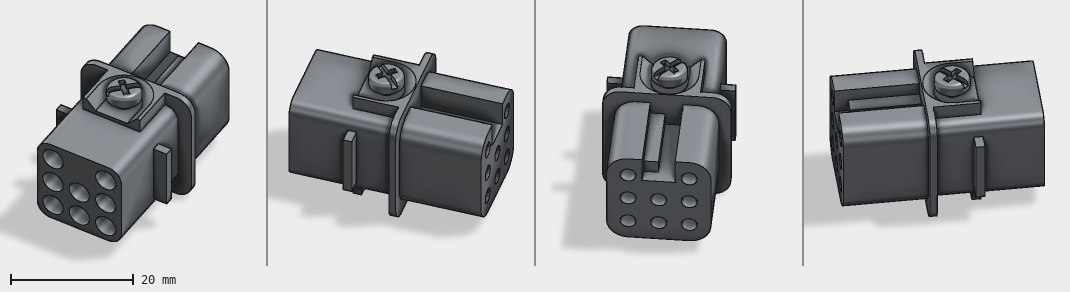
import cadquery as cq

total_length = 33.2
total_height = 22.7
joint_overlap = 0.33

front_length = 18.0
front_side = 16.0
front_radius = 2.55
flange_thickness = 1.2
flange_side = 21.0
flange_radius = 3.02
rear_side = 17.1
rear_radius = 3.52
rear_start = front_length + flange_thickness
rear_length = total_length - rear_start

flat_width = front_side - 2 * front_radius
flange_half = flange_side / 2
rib_start = 10.15
rib_thickness = 1.5

bore_pitch = 5.0
bore_radius = 1.93
contact_radius = 1.3
bore_depth = 6.65
cone_depth = bore_radius - contact_radius
bore_cells = [(-1, 1), (1, 1), (-1, 0), (0, 0), (1, 0), (-1, -1), (0, -1), (1, -1)]

screw_y = 14.18
pocket_floor_half = 3.02
pocket_depth = 1.8
pocket_floor = flange_half - pocket_depth
pocket_top_half = pocket_floor_half + pocket_depth
shank_radius = 1.53
head_radius = 2.95
head_height = 2.0
head_edge_radius = 1.0
head_top = total_height - flange_half
head_bottom = head_top - head_height
drive_width = 1.03
drive_depth = head_edge_radius
short_drive_length = 3.42
drive_angle = 45

keyway_width = 5.4
keyway_depth = 4.5
keyway_floor = rear_side / 2 - keyway_depth
rail_width = 2.45
rail_top = 6.27
rail_setback = 2.25


def rounded_square(side, radius, y_start, length):
    block = cq.Workplane("XY").box(side, length, side, centered=(True, False, True))
    return block.edges("|Y").fillet(radius).translate((0, y_start, 0))


def block_on_floor(width, length, floor, top, y_start):
    block = cq.Workplane("XY").box(width, length, top - floor, centered=(True, False, False))
    return block.translate((0, y_start, floor))


def contact_bore(x, z):
    cone_end = bore_depth + cone_depth
    profile = [
        (0, 0), (bore_radius, 0), (bore_radius, bore_depth),
        (contact_radius, cone_end), (contact_radius, total_length), (0, total_length),
    ]
    bore = cq.Workplane("XY").polyline(profile).close().revolve(360, (0, 0), (0, 1))
    return bore.translate((x, 0, z))


def seat_pocket():
    """Funnel with 45 degree walls, open toward the contact face."""
    channel_section = [
        (-pocket_floor_half, pocket_floor), (pocket_floor_half, pocket_floor),
        (pocket_top_half, flange_half), (-pocket_top_half, flange_half),
    ]
    channel = cq.Workplane("XZ").polyline(channel_section).close().extrude(-screw_y)
    funnel_profile = [
        (0, pocket_floor), (pocket_floor_half, pocket_floor),
        (pocket_top_half, flange_half), (0, flange_half),
    ]
    funnel = cq.Workplane("XZ").polyline(funnel_profile).close().revolve(360, (0, 0), (0, 1))
    return channel.union(funnel.translate((0, screw_y, 0)))


def drive_slot(length, angle):
    slot = cq.Workplane("XY").box(length, drive_width, drive_depth, centered=(True, True, False))
    slot = slot.rotate((0, 0, 0), (0, 0, 1), angle)
    return slot.translate((0, screw_y, head_top - drive_depth))


def screw():
    base = cq.Workplane("XY").center(0, screw_y)
    head = base.workplane(offset=head_bottom).circle(head_radius).extrude(head_height)
    head = head.faces(">Z").edges().fillet(head_edge_radius)
    head = head.cut(drive_slot(2 * head_radius, drive_angle))
    head = head.cut(drive_slot(short_drive_length, -drive_angle))
    shank_bottom = pocket_floor - joint_overlap
    shank = base.workplane(offset=shank_bottom).circle(shank_radius).extrude(head_bottom - shank_bottom)
    return head.union(shank)


result = rounded_square(front_side, front_radius, 0, front_length + joint_overlap)
result = result.union(rounded_square(flange_side, flange_radius, front_length, flange_thickness))
result = result.union(
    rounded_square(rear_side, rear_radius, rear_start - joint_overlap, rear_length + joint_overlap)
)

rib = block_on_floor(flat_width, rib_thickness, 0, flange_half, rib_start)
for rib_angle in (90, 180, 270):
    result = result.union(rib.rotate((0, 0, 0), (0, 1, 0), rib_angle))

seat = block_on_floor(flat_width, rear_start - rib_start, 0, flange_half, rib_start)
result = result.union(seat).cut(seat_pocket()).union(screw())

keyway = block_on_floor(keyway_width, rear_length, keyway_floor, rear_side / 2, rear_start)
rail = block_on_floor(rail_width, rear_length - rail_setback, keyway_floor, rail_top, rear_start)
rail = rail.translate(((keyway_width - rail_width) / 2, 0, 0))
result = result.cut(keyway).union(rail)

for column, row in bore_cells:
    result = result.cut(contact_bore(column * bore_pitch, row * bore_pitch))